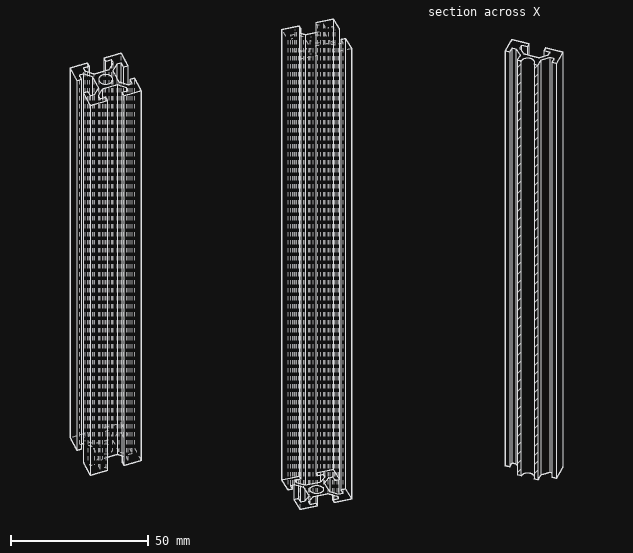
import cadquery as cq

side = 20.0
length = 200.0
slot_opening = 6.5
lip_thickness = 1.8
cavity_width = 11.0
core_width = 8.0
bore_diameter = 5.0
web_offset = 1.05

half_side = side / 2
half_opening = slot_opening / 2
half_cavity = cavity_width / 2
half_core = core_width / 2
lip_inside = half_side - lip_thickness
floor_half_width = half_core - web_offset
cavity_wall_end = half_cavity + web_offset


def make_slot():
    """T-slot opening on +Y, with 45 degree flanks running down to the core."""
    right_half = [
        (floor_half_width, half_core),
        (half_cavity, cavity_wall_end),
        (half_cavity, lip_inside),
        (half_opening, lip_inside),
        (half_opening, half_side),
    ]
    left_half = [(-x, y) for x, y in reversed(right_half)]
    return cq.Workplane("XY").polyline(right_half + left_half).close().extrude(length)


result = cq.Workplane("XY").rect(side, side).circle(bore_diameter / 2).extrude(length)

slot = make_slot()
for angle in (0, 90, 180, 270):
    result = result.cut(slot.rotate((0, 0, 0), (0, 0, 1), angle))